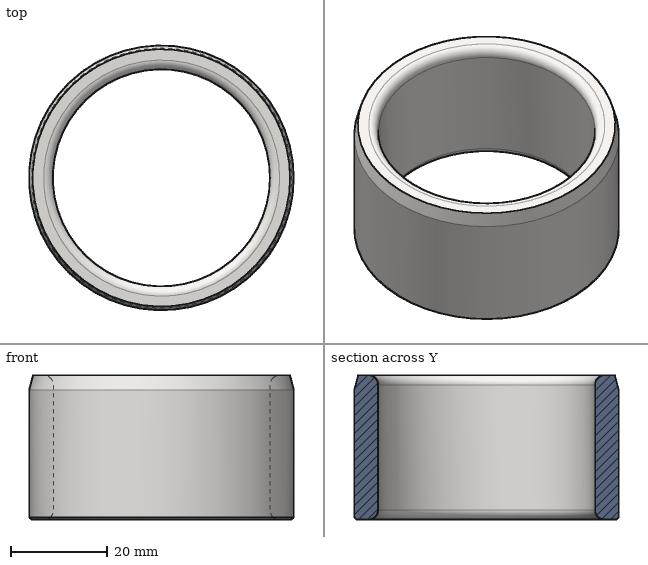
import cadquery as cq
import math

outer_diameter = 55.0
bore_diameter = 45.0
height = 30.0
lead_in_height = 3.0
lead_in_angle = 15.0
bore_mouth_radius = 2.0
bottom_edge_chamfer = 0.5

outer_radius = outer_diameter / 2
bore_radius = bore_diameter / 2
lead_in_width = lead_in_height * math.tan(math.radians(lead_in_angle))


def bushing_body():
    """Plain sleeve with its bottom face at Z = 0 and its axis on Z."""
    return cq.Workplane("XY").circle(outer_radius).circle(bore_radius).extrude(height)


def add_lead_in(body):
    """Cone on the outer top edge, longer along the axis than across it."""
    ring_section = (
        cq.Workplane("XZ")
        .moveTo(outer_radius, height - lead_in_height)
        .lineTo(outer_radius, height)
        .lineTo(outer_radius - lead_in_width, height)
        .close()
    )
    return body.cut(ring_section.revolve(360, (0, 0, 0), (0, 1, 0)))


def round_bore_mouths(body):
    """Fillet where the bore meets the top and bottom faces."""
    for end_face in (">Z", "<Z"):
        mouth_edge = cq.selectors.RadiusNthSelector(0)
        body = body.faces(end_face).edges(mouth_edge).fillet(bore_mouth_radius)
    return body


def break_bottom_edge(body):
    """Chamfer the outer circular edge of the bottom face."""
    outer_edge = cq.selectors.RadiusNthSelector(-1)
    return body.faces("<Z").edges(outer_edge).chamfer(bottom_edge_chamfer)


sleeve = bushing_body()
sleeve = add_lead_in(sleeve)
sleeve = round_bore_mouths(sleeve)
result = break_bottom_edge(sleeve)